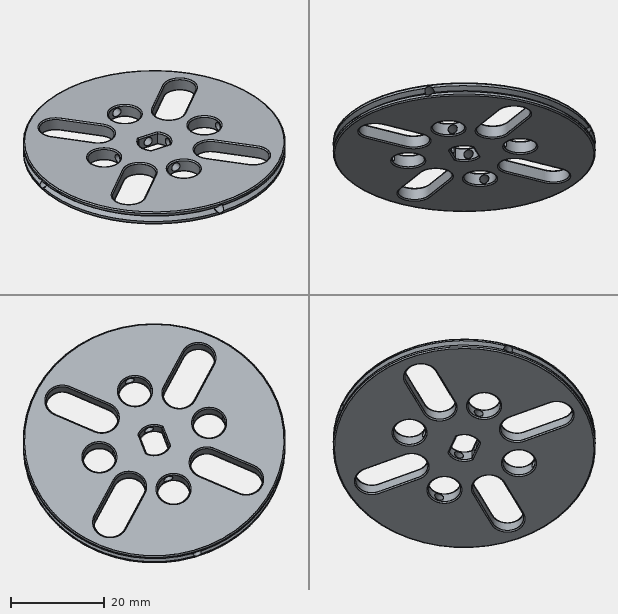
import cadquery as cq

disc_diameter = 56.25
thickness = 3.1
edge_chamfer = 0.3
groove_depth = 0.95
groove_half_width = 0.75

opening_diameter = 7.0
opening_count = 4
hole_pitch_radius = 12.5
slot_inner_radius = hole_pitch_radius
slot_outer_radius = 21.9
slot_start_angle = 45
shaft_flat_width = 5.2

cross_hole_diameter = 2.0

disc_radius = disc_diameter / 2
half_thickness = thickness / 2
opening_radius = opening_diameter / 2


def make_grooved_disc():
    """Disc centred on the origin with a V groove around the middle of its rim."""
    return (
        cq.Workplane("XZ")
        .moveTo(0, -half_thickness)
        .lineTo(disc_radius, -half_thickness)
        .lineTo(disc_radius, -groove_half_width)
        .lineTo(disc_radius - groove_depth, 0)
        .lineTo(disc_radius, groove_half_width)
        .lineTo(disc_radius, half_thickness)
        .lineTo(0, half_thickness)
        .close()
        .revolve(360, (0, 0, 0), (0, 1, 0))
    )


def cut_round_holes(body):
    """Four round through holes on the X and Y axes."""
    holes = (
        cq.Workplane("XY")
        .polarArray(hole_pitch_radius, 0, 360, opening_count)
        .circle(opening_radius)
        .extrude(half_thickness, both=True)
    )
    return body.cut(holes)


def cut_slots(body):
    """Four radial through slots on the diagonals, as wide as the round holes."""
    middle_radius = (slot_inner_radius + slot_outer_radius) / 2
    slot_length = slot_outer_radius - slot_inner_radius + opening_diameter
    slots = (
        cq.Workplane("XY")
        .polarArray(middle_radius, slot_start_angle, 360, opening_count)
        .slot2D(slot_length, opening_diameter)
        .extrude(half_thickness, both=True)
    )
    return body.cut(slots)


def cut_shaft_bore(body):
    """Double-D bore in the centre: a round hole narrowed by two flats facing X."""
    bore = cq.Workplane("XY").circle(opening_radius).extrude(half_thickness, both=True)
    slab = cq.Workplane("XY").box(shaft_flat_width, opening_diameter, thickness)
    return body.cut(bore.intersect(slab))


def cut_cross_holes(body):
    """Two straight holes from rim to rim at mid thickness, one along X and one along Y."""
    upright_drill = (
        cq.Workplane("XY")
        .circle(cross_hole_diameter / 2)
        .extrude(disc_diameter, both=True)
    )
    drill_along_x = upright_drill.rotate((0, 0, 0), (0, 1, 0), 90)
    drill_along_y = drill_along_x.rotate((0, 0, 0), (0, 0, 1), 90)
    return body.cut(drill_along_x).cut(drill_along_y)


result = make_grooved_disc()
result = cut_round_holes(result)
result = cut_slots(result)
result = cut_shaft_bore(result)

result = result.faces("|Z").edges().chamfer(edge_chamfer)

result = cut_cross_holes(result)